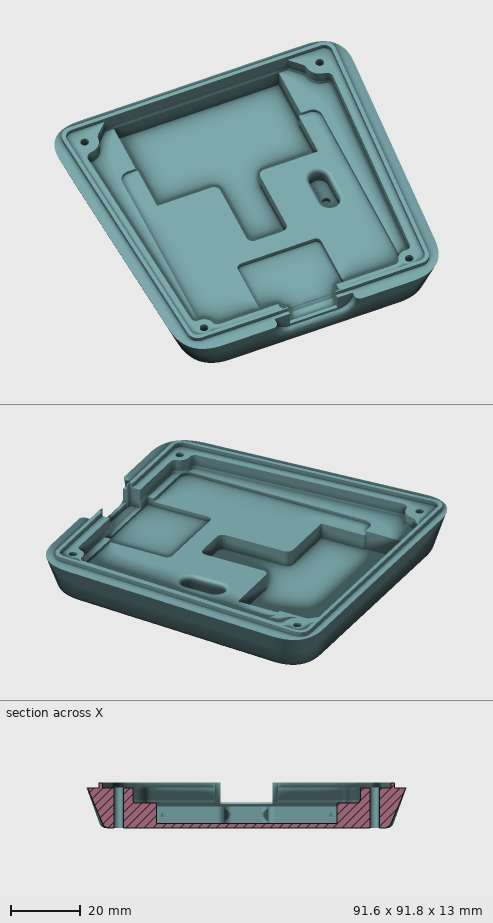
import cadquery as cq
import math

TOTAL_HEIGHT = 13.0
FLANGE_TOP = 11.6
SHELF_TOP = 7.35
RECESS_FLOOR = 6.25
SIDE_SLOPE = 0.063

RIM_OUTLINE = (-45.8, 45.8, 43.7, 11.4)
BASE_OUTLINE = (-43.2, 43.6, 39.7, 11.4)
LIP_OUTLINE = (-43.7, 41.8, 40.1, 3.1)
LIP_WALL = 1.1
LIP_INNER_RADIUS = 2.6
CORNER_FULLNESS = 0.67
BASE_FILLET = 1.8

CAVITY_RIGHT = 38.2
CAVITY_HALF_WIDTH = 36.3
BEVEL_WIDTH = 0.4
BEVEL_HEIGHT = 0.7

SCREW_HOLE_DIAMETER = 2.5
LEFT_POST = (-38.1, 36.75)
LEFT_POST_RADIUS = 4.1
LEFT_POST_BLEND = 2.0
DIAGONAL_START = 28.6
RIGHT_POST = (37.8, 32.1)
RIGHT_POST_RADIUS = 3.1
RIGHT_POST_BLEND = 1.65

RECESS_LEFT = -26.4
RECESS_RIGHT = 35.8
RECESS_HALF_WIDTH = 31.2
RECESS_RADIUS = 2.9

POCKET_FLOOR = 1.4
POCKET_LEFT_HALF = 25.8
POCKET_HALF = 25.2
POCKET_RIGHT = -12.3
TONGUE_HALF = 6.25
TONGUE_RIGHT = 10.5
TONGUE_RADIUS = 2.0

BOARD_FLOOR = 4.6
BOARD_LEFT = 16.5
BOARD_RIGHT = 37.9
BOARD_HALF = 13.0
BOARD_RADIUS = 1.65

CONNECTOR_FLOOR = 5.4
CONNECTOR_RIGHT = 41.4
CONNECTOR_HALF = 9.1
OPENING_HALF = 7.4
SILL_TOP = 7.0
SCOOP_BACK = 42.8
SCOOP_FLOOR = 6.0
SCOOP_HALF = 12.2
SCOOP_RADIUS = 4.8
SCOOP_EDGE_FILLET = 1.5

SLOT_X = 0.8
SLOT_Y = 21.5
SLOT_HALF_STRAIGHT = 3.95
SLOT_RADIUS = 2.85
SLOT_FILLET = 1.2
SLOT_FLOOR = 1.65
BUTTON_X = 2.1
BUTTON_HALF_STRAIGHT = 1.9
BUTTON_RADIUS = 2.6
BUTTON_HOLE_DIAMETER = 2.5
BUTTON_HOLE_DEPTH = 1.4

rim_right = RIM_OUTLINE[1]
rim_half_width = RIM_OUTLINE[2]
lip_right = LIP_OUTLINE[1]
lip_inner_left = LIP_OUTLINE[0] + LIP_WALL


def trapezoid_corners(left, right, half_width):
    half_left = half_width - SIDE_SLOPE * left
    half_right = half_width - SIDE_SLOPE * right
    return [(left, -half_left), (right, -half_right), (right, half_right), (left, half_left)]


def blended_wire(left, right, half_width, reach, z):
    """Trapezoid whose corners are cubic blends, each starting `reach` from the sharp corner."""
    corners = [cq.Vector(x, y, z) for x, y in trapezoid_corners(left, right, half_width)]
    handle = reach * (1 - CORNER_FULLNESS)
    edges = []
    for i, corner in enumerate(corners):
        following = corners[(i + 1) % len(corners)]
        back = (corners[i - 1] - corner).normalized()
        ahead = (following - corner).normalized()
        blend_end = corner + ahead * reach
        control_points = [corner + back * reach, corner + back * handle, corner + ahead * handle, blend_end]
        edges.append(cq.Edge.makeBezier(control_points))
        edges.append(cq.Edge.makeLine(blend_end, following - ahead * reach))
    return cq.Wire.assembleEdges(edges)


def trapezoid_prism(left, right, half_width, z_min, z_max):
    base = cq.Workplane("XY", origin=(0, 0, z_min)).polyline(trapezoid_corners(left, right, half_width)).close()
    return base.extrude(z_max - z_min)


def block(x_min, x_max, half_width, z_min, z_max):
    """Box symmetric about the XZ plane."""
    box = cq.Workplane("XY").box(x_max - x_min, 2 * half_width, z_max - z_min, centered=(False, True, False))
    return box.translate((x_min, 0, z_min))


def stadium(x, y, half_straight, radius, z_min, z_max):
    plane = cq.Workplane("XY", origin=(x, y, z_min))
    return plane.slot2D(2 * (half_straight + radius), 2 * radius).extrude(z_max - z_min)


def edges_in_box(solid, x_min, x_max, half_width, z_max):
    """Edges whose centres lie in a box that stands on z = 0, symmetric about the XZ plane."""
    return solid.edges(cq.selectors.BoxSelector((x_min, -half_width, 0), (x_max, half_width, z_max)))


def tapered_tray():
    base = blended_wire(*BASE_OUTLINE, 0)
    rim = blended_wire(*RIM_OUTLINE, FLANGE_TOP)
    tray = cq.Workplane(cq.Solid.makeLoft([base, rim], True))
    return tray.faces("<Z").edges().fillet(BASE_FILLET)


def lip_ring():
    left, right, half_width, radius = LIP_OUTLINE
    outer = trapezoid_prism(left, right, half_width, FLANGE_TOP, TOTAL_HEIGHT).edges("|Z").fillet(radius)
    inner = trapezoid_prism(
        lip_inner_left, right - LIP_WALL, half_width - LIP_WALL, FLANGE_TOP, TOTAL_HEIGHT
    )
    return outer.cut(inner.edges("|Z").fillet(LIP_INNER_RADIUS))


def cut_plug_scoop(body):
    """Round-cornered scoop in the outside of the right wall, with a rounded mouth."""
    scoop = block(SCOOP_BACK, rim_right, SCOOP_HALF, SCOOP_FLOOR, FLANGE_TOP)
    body = body.cut(scoop.edges("|X and <Z").fillet(SCOOP_RADIUS))
    middle_of_scoop = (SCOOP_BACK + rim_right) / 2
    below_rim = FLANGE_TOP - SCOOP_EDGE_FILLET / 2
    mouth = edges_in_box(body, middle_of_scoop, rim_right, SCOOP_HALF + SCOOP_EDGE_FILLET / 2, below_rim)
    return mouth.fillet(SCOOP_EDGE_FILLET)


def post_fillers(z_min, z_max):
    """Screw posts, with the left ones webbed to their corners."""
    plane = cq.Workplane("XY", origin=(0, 0, z_min))
    height = z_max - z_min
    left_x, left_y = LEFT_POST
    right_x, right_y = RIGHT_POST
    diagonal_end = DIAGONAL_START + left_x - lip_inner_left
    fillers = []
    for side in (1, -1):
        web = plane.polyline([
            (lip_inner_left, side * DIAGONAL_START),
            (left_x, side * diagonal_end),
            (left_x, side * rim_half_width),
            (lip_inner_left, side * rim_half_width),
        ])
        left_post = plane.center(left_x, side * left_y).circle(LEFT_POST_RADIUS).extrude(height)
        right_post = plane.center(right_x, side * right_y).circle(RIGHT_POST_RADIUS).extrude(height)
        fillers += [left_post.union(web.close().extrude(height)), right_post]
    return fillers


def cavity():
    """Space inside the ledge: its wall wraps around the posts and ends in a bevel."""
    wall_bottom = SHELF_TOP + BEVEL_HEIGHT
    space = trapezoid_prism(lip_inner_left, CAVITY_RIGHT, CAVITY_HALF_WIDTH, wall_bottom, FLANGE_TOP)
    for filler in post_fillers(wall_bottom, FLANGE_TOP):
        space = space.cut(filler)
    left_post_edge = LEFT_POST[0] - LEFT_POST_RADIUS
    left_corners = edges_in_box(space, left_post_edge, 0, rim_half_width, TOTAL_HEIGHT).edges("|Z")
    space = left_corners.fillet(LEFT_POST_BLEND)
    right_corners = edges_in_box(space, 0, rim_right, rim_half_width, TOTAL_HEIGHT).edges("|Z")
    space = right_corners.fillet(RIGHT_POST_BLEND)
    bevel_angle = math.degrees(math.atan2(BEVEL_WIDTH, BEVEL_HEIGHT))
    return space.faces("<Z").wires().toPending().workplane().extrude(BEVEL_HEIGHT, taper=bevel_angle)


def floor_recess():
    recess = block(RECESS_LEFT, RECESS_RIGHT, RECESS_HALF_WIDTH, RECESS_FLOOR, SHELF_TOP)
    return recess.edges("|Z").fillet(RECESS_RADIUS)


def stepped_pocket():
    beside_shelf = block(lip_inner_left, RECESS_LEFT, POCKET_LEFT_HALF, POCKET_FLOOR, SHELF_TOP)
    middle = block(RECESS_LEFT, POCKET_RIGHT, POCKET_HALF, POCKET_FLOOR, SHELF_TOP)
    tongue = block(POCKET_RIGHT, TONGUE_RIGHT, TONGUE_HALF, POCKET_FLOOR, SHELF_TOP)
    pocket = beside_shelf.union(middle).union(tongue)
    tongue_corners = edges_in_box(pocket, RECESS_LEFT / 2, rim_right, TONGUE_HALF + TONGUE_RADIUS, SHELF_TOP)
    return tongue_corners.edges("|Z").fillet(TONGUE_RADIUS)


def board_pocket():
    pocket = block(BOARD_LEFT, BOARD_RIGHT, BOARD_HALF, BOARD_FLOOR, SHELF_TOP)
    return pocket.edges("|Z and <X").fillet(BOARD_RADIUS)


def connector_opening():
    inside = block(BOARD_RIGHT, CONNECTOR_RIGHT, CONNECTOR_HALF, CONNECTOR_FLOOR, TOTAL_HEIGHT)
    under_lip = block(CONNECTOR_RIGHT, lip_right, OPENING_HALF, CONNECTOR_FLOOR, TOTAL_HEIGHT)
    over_sill = block(lip_right, rim_right, OPENING_HALF, SILL_TOP, TOTAL_HEIGHT)
    return inside.union(under_lip).union(over_sill)


def button_slot():
    """Slot below the recess floor, flared at the top to round its rim."""
    slot = stadium(SLOT_X, SLOT_Y, SLOT_HALF_STRAIGHT, SLOT_RADIUS, SLOT_FLOOR, RECESS_FLOOR)
    above = stadium(SLOT_X, SLOT_Y, SLOT_HALF_STRAIGHT, SLOT_RADIUS + 2 * SLOT_FILLET, RECESS_FLOOR, SHELF_TOP)
    rim_point = (SLOT_X, SLOT_Y + SLOT_RADIUS, RECESS_FLOOR)
    return above.union(slot).edges(cq.NearestToPointSelector(rim_point)).fillet(SLOT_FILLET)


def screw_holes():
    centers = [(x, side * y) for x, y in (LEFT_POST, RIGHT_POST) for side in (1, -1)]
    return cq.Workplane("XY").pushPoints(centers).circle(SCREW_HOLE_DIAMETER / 2).extrude(TOTAL_HEIGHT)


def button_blank():
    """Outside of the button, which fills an opening through the slot floor."""
    return stadium(BUTTON_X, SLOT_Y, BUTTON_HALF_STRAIGHT, BUTTON_RADIUS, 0, SLOT_FLOOR)


def make_button():
    hole = cq.Workplane("XY", origin=(BUTTON_X, SLOT_Y, SLOT_FLOOR - BUTTON_HOLE_DEPTH))
    return button_blank().cut(hole.circle(BUTTON_HOLE_DIAMETER / 2).extrude(BUTTON_HOLE_DEPTH))


def make_shell():
    body = cut_plug_scoop(tapered_tray()).union(lip_ring())
    spaces = (
        cavity(),
        floor_recess(),
        stepped_pocket(),
        board_pocket(),
        connector_opening(),
        button_slot(),
        screw_holes(),
        button_blank(),
    )
    for space in spaces:
        body = body.cut(space)
    return body


shell = make_shell()
button = make_button()
result = cq.Compound.makeCompound([shell.val(), button.val()])